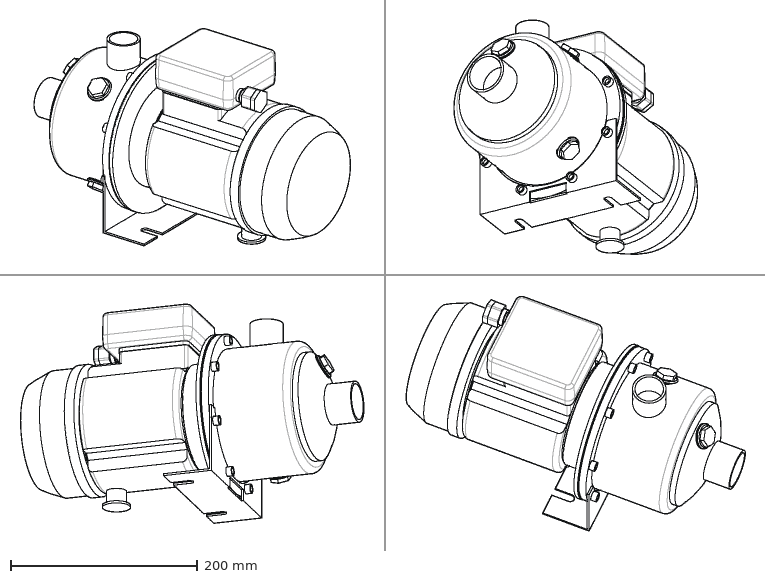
import cadquery as cq
import math


INLET_OD = 44.5
INLET_ID = 38.8
DOME_X = 30.0
DOME_RIM_X = 47.0
DOME_RADIUS = 98.0
DOME_RIM_D = 118.0
CASING_X = 53.5
CASING_D = 143.5
CASING_FILLET = 6.5
FLANGE_X = 139.2
FLANGE_END_X = 147.5
FLANGE_D = 175.5
OUTLET_X = 103.0
OUTLET_OD = 36.0
OUTLET_ID = 30.5
OUTLET_TOP_Z = 99.5

SCREW_COUNT = 8
SCREW_CIRCLE_R = 80.5
SCREW_HEAD_D = 10.0
SCREW_HEAD_H = 6.0
SOCKET_D = 7.0
SOCKET_DEPTH = 3.5

PLUG_SEAT_D = 27.5
PLUG_SEAT_DEPTH = 1.8
PLUG_SEAT_RISE = 1.5
PLUG_SEAT_CHAMFER = 1.5
PLUG_HEX_FLATS = 19.5
PLUG_RISE = 6.5
SIDE_PLUG_ANGLE = 52.0
DOME_PLUG_ANGLE = 27.0

BASE_Z = -90.0
BRACKET_T = 2.0
BRACKET_HALF_W = 83.8
BRACKET_TOP_Z = -15.2
BRACKET_END_X = 191.5
BRACKET_BORE_R = 74.0
WINDOW_HALF_W = 22.5
WINDOW_TOP_Z = -77.2
SLOT_Y = 54.8
SLOT_W = 9.0
SLOT_CENTER_X = 172.0

GASKET_D = 173.5
MOTOR_FLANGE_D = 176.5
MOTOR_FLANGE_X = 148.5
MOTOR_FLANGE_END_X = 153.0
CORE_D = 118.0
GROOVE_D = 114.0
NECK_END_X = 178.5
LOBE_X = 180.5
LOBE_END_X = 293.5
LOBE_D = 140.0
LOBE_FILLET = 5.5
SIDE_LOBE_HALF_H = 40.2
TOP_LOBE_HALF_W = 36.5
GROOVE_END_X = 295.0
SPIGOT_D = 110.0
FAN_COVER_X = 297.5
FAN_RIM_END_X = 308.2
FAN_RIM_D = 143.5
FAN_COVER_D = 138.0
FAN_TAPER_X = 337.2
FAN_END_X = 362.5
FAN_END_D = 116.0
FAN_BULGE = 0.7

RISER_END_X = 258.0
RISER_TOP_Z = 73.0
RISER_FILLET = 3.0
PAD_TOP_Z = 77.2
PAD_LIP = 1.0
PAD_FILLET = 5.8

BOX_X = 174.5
BOX_END_X = 276.3
BOX_HALF_W = 45.0
BOX_PARTING_Z = 91.5
BOX_TOP_Z = 117.5
BOX_CORNER_R = 8.0
BOX_DRAFT = 1.5
BOX_BASE_DRAFT = 5.0
BOX_TOP_FILLET = 3.5
BOX_BOTTOM_FILLET = 4.5
GLAND_Y = -25.0
GLAND_COLLAR_D = 15.0
GLAND_COLLAR_END_X = 280.0
GLAND_NECK_D = 13.0
GLAND_NECK_END_X = 282.0
GLAND_SLEEVE_D = 18.5
GLAND_NUT_X = 286.5
GLAND_NUT_FLATS = 23.0
GLAND_NUT_FILLET = 2.0
GLAND_CAP_X = 298.5
GLAND_CAP_FLATS = 23.2
GLAND_END_X = 304.0

FOOT_X = 273.5
FOOT_STUD_D = 10.0
FOOT_STUD_END_Z = -71.8
FOOT_BODY_D = 21.8
FOOT_DISC_D = 30.5
FOOT_DISC_T = 2.5


def rod(x0, x1, diameter, y=0.0, z=0.0):
    """Cylinder along X from x0 to x1."""
    return cq.Workplane("YZ", origin=(x0, y, z)).circle(diameter / 2).extrude(x1 - x0)


def hex_rod(x0, x1, flats, y=0.0, z=0.0):
    """Hexagonal bar along X with two corners on its vertical centre line."""
    corners = flats / math.cos(math.pi / 6)
    bar = cq.Workplane("YZ", origin=(x0, y, z)).polygon(6, corners).extrude(x1 - x0)
    return bar.rotate((x0, y, z), (x1, y, z), 90)


def block(x0, x1, y0, y1, z0, z1):
    """Axis-aligned box between two corners."""
    return cq.Workplane("XY").box(x1 - x0, y1 - y0, z1 - z0, centered=False).translate((x0, y0, z0))


DOME_CENTER_X = DOME_RIM_X + math.sqrt(DOME_RADIUS**2 - (DOME_RIM_D / 2) ** 2)


def plug(center, direction, surface_radius):
    """Hexagon plug on a round seat, square to the surface along a ray from center."""
    axis = cq.Vector(*direction)
    seat_origin = cq.Vector(*center) + axis * (surface_radius - PLUG_SEAT_DEPTH)
    across = cq.Vector(0, 1, 0) if direction[0] else cq.Vector(1, 0, 0)
    plane = cq.Plane(seat_origin, across, axis)
    seat_height = PLUG_SEAT_DEPTH + PLUG_SEAT_RISE
    corners = PLUG_HEX_FLATS / math.cos(math.pi / 6)
    seat = cq.Workplane(plane).circle(PLUG_SEAT_D / 2).extrude(seat_height)
    seat = seat.faces(cq.selectors.DirectionMinMaxSelector(axis)).edges().chamfer(PLUG_SEAT_CHAMFER)
    head = (
        cq.Workplane(plane)
        .transformed(rotate=(0, 0, 90), offset=(0, 0, seat_height))
        .polygon(6, corners)
        .extrude(PLUG_RISE - PLUG_SEAT_RISE)
    )
    return seat.union(head)


def make_plugs():
    """Two plugs on the casing's side and one on its dome."""
    plugs = []
    for angle in (SIDE_PLUG_ANGLE, -SIDE_PLUG_ANGLE):
        a = math.radians(angle)
        plugs.append(plug((OUTLET_X, 0, 0), (0, -math.cos(a), math.sin(a)), CASING_D / 2))
    a = math.radians(DOME_PLUG_ANGLE)
    plugs.append(plug((DOME_CENTER_X, 0, 0), (-math.cos(a), 0, math.sin(a)), DOME_RADIUS))
    return plugs


def flange_screws():
    """Screw heads on the casing flange; the lower ones stand on the bracket."""
    screws = cq.Workplane("YZ")
    for i in range(SCREW_COUNT):
        angle = math.radians(360 / SCREW_COUNT * (i + 0.5))
        y = SCREW_CIRCLE_R * math.cos(angle)
        z = SCREW_CIRCLE_R * math.sin(angle)
        seat_x = FLANGE_X - BRACKET_T if z < BRACKET_TOP_Z else FLANGE_X
        head_x = seat_x - SCREW_HEAD_H
        screws = screws.union(rod(head_x, FLANGE_X, SCREW_HEAD_D, y, z))
        screws = screws.cut(rod(head_x, head_x + SOCKET_DEPTH, SOCKET_D, y, z))
    return screws


def make_casing(plugs, screws):
    """Domed casing with inlet pipe, outlet pipe, flange and screws."""
    inlet_r = INLET_OD / 2
    dome_mid_angle = math.radians(22)
    dome_mid = (
        DOME_CENTER_X - DOME_RADIUS * math.cos(dome_mid_angle),
        DOME_RADIUS * math.sin(dome_mid_angle),
    )
    dome_start_x = DOME_CENTER_X - math.sqrt(DOME_RADIUS**2 - inlet_r**2)
    casing_r = CASING_D / 2
    corner = CASING_FILLET * math.sqrt(0.5)
    profile = (
        cq.Workplane("XY")
        .lineTo(0, inlet_r)
        .lineTo(dome_start_x, inlet_r)
        .threePointArc(dome_mid, (DOME_RIM_X, DOME_RIM_D / 2))
        .lineTo(CASING_X, DOME_RIM_D / 2)
        .lineTo(CASING_X, casing_r - CASING_FILLET)
        .threePointArc(
            (CASING_X + CASING_FILLET - corner, casing_r - CASING_FILLET + corner),
            (CASING_X + CASING_FILLET, casing_r),
        )
        .lineTo(FLANGE_X, casing_r)
        .lineTo(FLANGE_X, FLANGE_D / 2)
        .lineTo(FLANGE_END_X, FLANGE_D / 2)
        .lineTo(FLANGE_END_X, 0)
        .close()
    )
    shell = profile.revolve(360, (0, 0, 0), (1, 0, 0))
    outlet = cq.Workplane("XY", origin=(OUTLET_X, 0, 0)).circle(OUTLET_OD / 2).extrude(OUTLET_TOP_Z)
    outlet_bore = (
        cq.Workplane("XY", origin=(OUTLET_X, 0, 0))
        .circle(OUTLET_ID / 2)
        .extrude(OUTLET_TOP_Z)
        .cut(rod(CASING_X, FLANGE_X, CASING_D))
    )
    casing = shell.cut(rod(0, DOME_X, INLET_ID)).union(outlet).cut(outlet_bore)
    casing = casing.union(screws)
    for fitted_plug in plugs:
        casing = casing.cut(fitted_plug)
    return casing


def make_bracket(screws):
    """Angle bracket: upright plate around the casing and a slotted foot plate."""
    back_x = FLANGE_X - BRACKET_T
    w = BRACKET_HALF_W
    upright = block(back_x, FLANGE_X, -w, w, BASE_Z, BRACKET_TOP_Z)
    upright = upright.cut(rod(back_x, FLANGE_X, 2 * BRACKET_BORE_R))
    window_w = WINDOW_HALF_W
    upright = upright.cut(block(back_x, FLANGE_X, -window_w, window_w, BASE_Z, WINDOW_TOP_Z))
    foot_top_z = BASE_Z + BRACKET_T
    foot_plate = block(FLANGE_X, BRACKET_END_X, -w, w, BASE_Z, foot_top_z)
    foot_plate = foot_plate.cut(rod(MOTOR_FLANGE_X, MOTOR_FLANGE_END_X, MOTOR_FLANGE_D))
    for y in (-SLOT_Y, SLOT_Y):
        half = SLOT_W / 2
        slot = block(SLOT_CENTER_X, BRACKET_END_X, y - half, y + half, BASE_Z, foot_top_z)
        round_end = (
            cq.Workplane("XY", origin=(SLOT_CENTER_X, y, BASE_Z)).circle(half).extrude(BRACKET_T)
        )
        foot_plate = foot_plate.cut(slot).cut(round_end)
    return upright.union(foot_plate).cut(screws)


def motor_lobes():
    """Raised quarters of the motor body: one on each side, above and below."""
    barrel = rod(LOBE_X, LOBE_END_X, LOBE_D).edges().fillet(LOBE_FILLET)
    r = LOBE_D / 2
    side_slab = block(LOBE_X, LOBE_END_X, -r, r, -SIDE_LOBE_HALF_H, SIDE_LOBE_HALF_H)
    w = TOP_LOBE_HALF_W
    bottom_slab = block(LOBE_X, LOBE_END_X, -w, w, -r, 0)
    top_slab = block(LOBE_X + RISER_FILLET, LOBE_END_X, -w, w, 0, r)
    return barrel.intersect(side_slab.union(bottom_slab).union(top_slab))


def terminal_riser():
    """Pedestal that carries the terminal box, with a slightly wider top pad."""
    w = TOP_LOBE_HALF_W
    riser = block(LOBE_X, RISER_END_X, -w, w, 0, RISER_TOP_Z).edges("|Z").fillet(RISER_FILLET)
    pad_w = w + PAD_LIP
    pad = block(LOBE_X - PAD_LIP, RISER_END_X + PAD_LIP, -pad_w, pad_w, RISER_TOP_Z, PAD_TOP_Z)
    return riser.union(pad.edges("|Z").fillet(PAD_FILLET))


def fan_cover():
    """Fan cover at the rear end: rim, straight part and slightly domed taper."""
    rim_r, cover_r, end_r = FAN_RIM_D / 2, FAN_COVER_D / 2, FAN_END_D / 2
    taper_length = math.hypot(FAN_END_X - FAN_TAPER_X, cover_r - end_r)
    bulge_x = FAN_BULGE * (cover_r - end_r) / taper_length
    bulge_r = FAN_BULGE * (FAN_END_X - FAN_TAPER_X) / taper_length
    taper_mid = ((FAN_TAPER_X + FAN_END_X) / 2 + bulge_x, (cover_r + end_r) / 2 + bulge_r)
    profile = (
        cq.Workplane("XY")
        .moveTo(FAN_COVER_X, 0)
        .lineTo(FAN_COVER_X, rim_r)
        .lineTo(FAN_RIM_END_X, rim_r)
        .lineTo(FAN_RIM_END_X, cover_r)
        .lineTo(FAN_TAPER_X, cover_r)
        .threePointArc(taper_mid, (FAN_END_X, end_r))
        .lineTo(FAN_END_X, 0)
        .close()
    )
    return profile.revolve(360, (0, 0, 0), (1, 0, 0))


def make_motor():
    """Motor with mounting flange, lobed body, box riser and fan cover."""
    motor = rod(FLANGE_END_X, MOTOR_FLANGE_X, GASKET_D)
    motor = motor.union(rod(MOTOR_FLANGE_X, MOTOR_FLANGE_END_X, MOTOR_FLANGE_D))
    motor = motor.union(rod(MOTOR_FLANGE_END_X, NECK_END_X, CORE_D))
    motor = motor.union(rod(NECK_END_X, LOBE_X, GROOVE_D))
    motor = motor.union(rod(LOBE_X, LOBE_END_X, CORE_D))
    motor = motor.union(rod(LOBE_END_X, GROOVE_END_X, GROOVE_D))
    motor = motor.union(rod(GROOVE_END_X, FAN_COVER_X, SPIGOT_D))
    return motor.union(motor_lobes()).union(terminal_riser()).union(fan_cover())


def box_half(height, draft):
    """Drafted half of the terminal box, from its parting line over a signed height."""
    length = BOX_END_X - BOX_X
    center_x = (BOX_X + BOX_END_X) / 2
    return (
        cq.Workplane("XY", origin=(center_x, 0, BOX_PARTING_Z))
        .sketch()
        .rect(length, 2 * BOX_HALF_W)
        .vertices()
        .fillet(BOX_CORNER_R)
        .finalize()
        .extrude(height, taper=draft)
    )


def cable_gland():
    """Stepped cable gland with a hexagon nut, along X."""
    y, z = GLAND_Y, BOX_PARTING_Z
    inner_x = BOX_END_X - BOX_CORNER_R
    gland = rod(inner_x, GLAND_COLLAR_END_X, GLAND_COLLAR_D, y, z)
    gland = gland.union(rod(GLAND_COLLAR_END_X, GLAND_NECK_END_X, GLAND_NECK_D, y, z))
    gland = gland.union(rod(GLAND_NECK_END_X, GLAND_NUT_X, GLAND_SLEEVE_D, y, z))
    nut = hex_rod(GLAND_NUT_X, GLAND_CAP_X, GLAND_NUT_FLATS, y, z).edges("|X").fillet(GLAND_NUT_FILLET)
    cap = hex_rod(GLAND_CAP_X, GLAND_END_X, GLAND_CAP_FLATS, y, z).edges("|X").fillet(GLAND_NUT_FILLET)
    return gland.union(nut).union(cap)


def make_terminal_box():
    """Terminal box with its cable gland."""
    upper = box_half(BOX_TOP_Z - BOX_PARTING_Z, BOX_DRAFT).faces(">Z").edges().fillet(BOX_TOP_FILLET)
    lower = box_half(PAD_TOP_Z - BOX_PARTING_Z, BOX_BASE_DRAFT).faces("<Z").edges().fillet(BOX_BOTTOM_FILLET)
    return upper.union(lower).union(cable_gland())


def make_rear_foot(motor):
    """Buffer under the motor; its stud meets the underside of the bottom lobe."""
    disc_top_z = BASE_Z + FOOT_DISC_T
    stud_top_z = -CORE_D / 2
    base = cq.Workplane("XY", origin=(FOOT_X, 0, BASE_Z)).circle(FOOT_DISC_D / 2).extrude(FOOT_DISC_T)
    body = (
        cq.Workplane("XY", origin=(FOOT_X, 0, disc_top_z))
        .circle(FOOT_BODY_D / 2)
        .extrude(FOOT_STUD_END_Z - disc_top_z)
    )
    stud = (
        cq.Workplane("XY", origin=(FOOT_X, 0, FOOT_STUD_END_Z))
        .circle(FOOT_STUD_D / 2)
        .extrude(stud_top_z - FOOT_STUD_END_Z)
    )
    return base.union(body).union(stud).cut(motor)


plugs = make_plugs()
screws = flange_screws()
casing = make_casing(plugs, screws)
bracket = make_bracket(screws)
motor = make_motor()
terminal_box = make_terminal_box()
rear_foot = make_rear_foot(motor)

result = cq.Compound.makeCompound(
    [
        casing.val(),
        *[fitted_plug.val() for fitted_plug in plugs],
        bracket.val(),
        motor.val(),
        terminal_box.val(),
        rear_foot.val(),
    ]
)